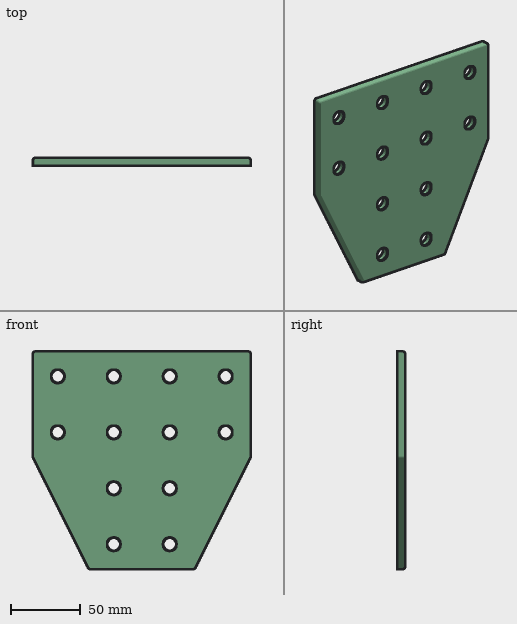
import cadquery as cq

side = 156.0
thickness = 6.0
corner_radius = 2.0
rim_radius = 2.0

columns = 4
rows = 4
full_rows = 2
edge_margin = 18.0
hole_diameter = 9.0
hole_chamfer = 0.5
chamfer_angle = 45

pitch = (side - 2 * edge_margin) / (columns - 1)
arm_width = pitch + 2 * edge_margin

half_side = side / 2
half_foot = arm_width / 2
shoulder_z = half_side - arm_width
front_y = -thickness / 2
back_y = thickness / 2


def tapered_plate():
    """Square plate with its lower corners cut away, all outline corners rounded."""
    outline = [
        (-half_side, half_side),
        (half_side, half_side),
        (half_side, shoulder_z),
        (half_foot, -half_side),
        (-half_foot, -half_side),
        (-half_side, shoulder_z),
    ]
    plate = cq.Workplane("XZ", origin=(0, back_y, 0)).polyline(outline).close().extrude(thickness)
    plate = plate.edges("|Y").fillet(corner_radius)
    return plate.faces(">Y").edges().fillet(rim_radius)


def hole_centres():
    """Upper rows use every column, lower rows only the two middle columns."""
    centres = []
    for row in range(rows):
        z = half_side - edge_margin - row * pitch
        used_columns = range(columns) if row < full_rows else range(1, columns - 1)
        for column in used_columns:
            centres.append((-half_side + edge_margin + column * pitch, z))
    return centres


def hole_cutters():
    """Through holes, each with a small chamfer at both faces of the plate."""
    front = cq.Workplane("XZ", origin=(0, front_y, 0)).pushPoints(hole_centres())
    back = cq.Workplane("XZ", origin=(0, back_y, 0)).pushPoints(hole_centres())
    bore_radius = hole_diameter / 2
    mouth_radius = bore_radius + hole_chamfer
    bores = front.circle(bore_radius).extrude(-thickness)
    front_mouths = front.circle(mouth_radius).extrude(-hole_chamfer, taper=chamfer_angle)
    back_mouths = back.circle(mouth_radius).extrude(hole_chamfer, taper=chamfer_angle)
    return bores.union(front_mouths).union(back_mouths)


result = tapered_plate().cut(hole_cutters())